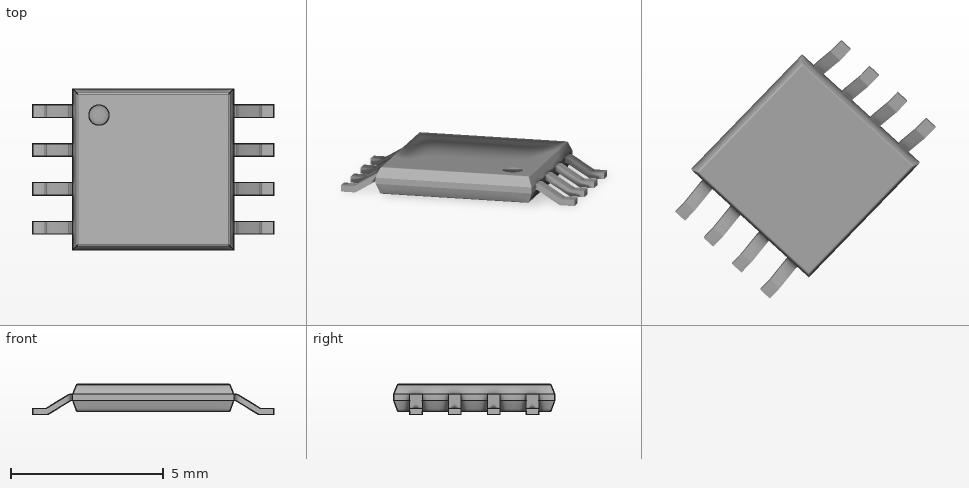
import cadquery as cq
import math

span = 7.9
height = 1.0
body_side = 5.28
standoff = 0.1

leads_per_side = 4
lead_pitch = 1.27
lead_width = 0.42
lead_thickness = 0.205
foot_length = 0.435
shoulder_length = 0.11
bend_radius = 0.1
lead_exit_bottom = 0.47

draft_inset = 0.135
edge_radius = 0.07

mark_diameter = 0.66
mark_inset = 0.86
mark_depth = 0.1

lead_exit_top = lead_exit_bottom + lead_thickness
lead_reach = (span - body_side) / 2
upper_height = height - lead_exit_top
lower_height = lead_exit_bottom - standoff


def draft_angle(draft_height):
    """Taper in degrees that pulls each side in by the draft inset over the given height."""
    return math.degrees(math.atan(draft_inset / draft_height))


def make_housing():
    """Square housing with a vertical belt, drafted above and below it, and a round pin-one recess."""
    belt = cq.Workplane("XY").workplane(offset=lead_exit_bottom)
    belt = belt.rect(body_side, body_side).extrude(lead_thickness)
    upper = cq.Workplane("XY").workplane(offset=lead_exit_top)
    upper = upper.rect(body_side, body_side).extrude(upper_height, taper=draft_angle(upper_height))
    lower = cq.Workplane("XY", origin=(0, 0, lead_exit_bottom)).rect(body_side, body_side)
    lower = lower.extrude(-lower_height, taper=draft_angle(lower_height))
    housing = belt.union(upper).union(lower)
    housing = housing.edges(">Z or <Z").fillet(edge_radius)

    mark_offset = body_side / 2 - mark_inset
    mark = cq.Workplane("XY", origin=(-mark_offset, mark_offset, height - mark_depth))
    mark = mark.circle(mark_diameter / 2).extrude(mark_depth)
    return housing.cut(mark)


def make_lead(y_center):
    """Gull-wing lead on the -X side: flat foot, sloped leg and shoulder of one thickness."""
    toe_x = -span / 2
    exit_x = -body_side / 2
    run = lead_reach - foot_length - shoulder_length
    slope = math.atan2(lead_exit_bottom, run)
    corner_shift = lead_thickness * math.tan(slope / 2)

    foot_end_x = toe_x + foot_length
    shoulder_start_x = exit_x - shoulder_length
    outline = [
        (toe_x, 0),
        (foot_end_x + corner_shift, 0),
        (shoulder_start_x + corner_shift, lead_exit_bottom),
        (exit_x, lead_exit_bottom),
        (exit_x, lead_exit_top),
        (shoulder_start_x, lead_exit_top),
        (foot_end_x, lead_thickness),
        (toe_x, lead_thickness),
    ]
    lead = cq.Workplane("XZ", origin=(0, y_center + lead_width / 2, 0))
    lead = lead.polyline(outline).close().extrude(lead_width)
    bends = lead.edges("|Y").edges("not(<X or >X)")
    return bends.fillet(bend_radius)


housing = make_housing()

leads = []
for index in range(leads_per_side):
    lead_y = (index - (leads_per_side - 1) / 2) * lead_pitch
    left_lead = make_lead(lead_y)
    leads.append(left_lead.val())
    leads.append(left_lead.mirror("YZ").val())

result = cq.Compound.makeCompound([housing.val(), *leads])